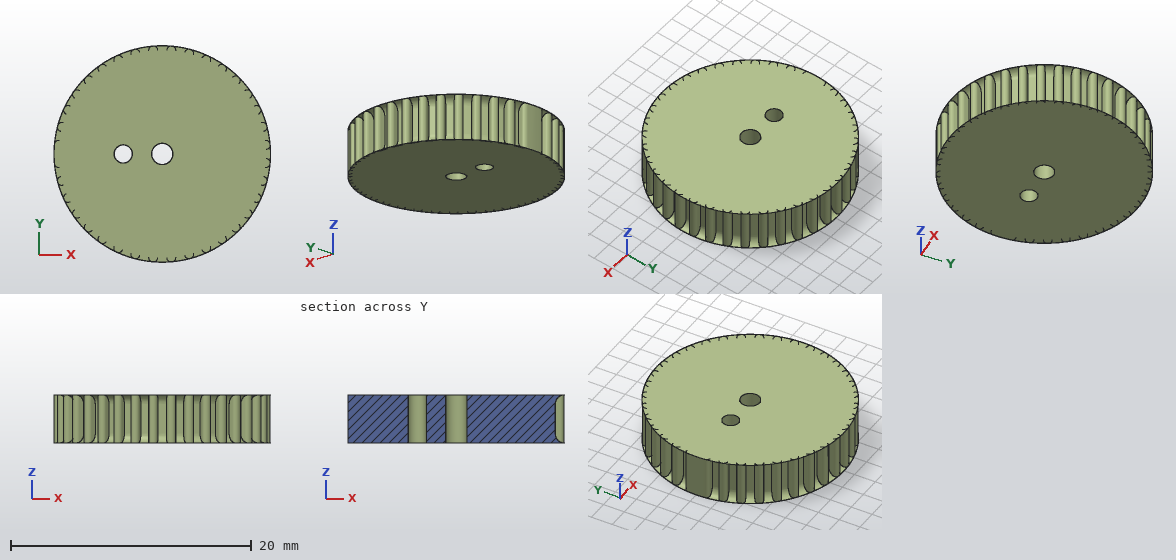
import cadquery as cq
import math

outer_radius = 9.0
thickness = 4.0
half_thickness = thickness / 2

cove_radius = 0.75
floor_radius = outer_radius - cove_radius

tooth_count = 36
tooth_pitch = 360 / tooth_count
tooth_width = 0.74
tip_land = 0.04
tip_radius = (tooth_width - tip_land) / 2
tooth_root_overlap = 0.36

centre_hole_diameter = 1.75
offset_hole_diameter = 1.5
offset_hole_x = -3.24


def make_grooved_disc():
    """Revolve a half section whose rim narrows to an edge at both faces."""
    cove_offset = cove_radius * math.sqrt(0.5)
    floor_height = half_thickness - cove_radius
    return (
        cq.Workplane("XZ")
        .moveTo(0, -half_thickness)
        .lineTo(outer_radius, -half_thickness)
        .threePointArc((outer_radius - cove_offset, -floor_height - cove_offset), (floor_radius, -floor_height))
        .lineTo(floor_radius, floor_height)
        .threePointArc((outer_radius - cove_offset, floor_height + cove_offset), (outer_radius, half_thickness))
        .lineTo(0, half_thickness)
        .close()
        .revolve(360, (0, 0, 0), (0, 1, 0))
    )


def make_tooth(angle):
    """A full-height radial tooth whose rounded tip reaches the outer radius."""
    root = floor_radius - tooth_root_overlap
    half_width = tooth_width / 2
    half_land = tip_land / 2
    shoulder = outer_radius - tip_radius
    corner_offset = tip_radius * math.sqrt(0.5)
    corner_x = shoulder + corner_offset
    corner_y = half_land + corner_offset
    return (
        cq.Workplane("XY", origin=(0, 0, -half_thickness))
        .moveTo(root, -half_width)
        .lineTo(shoulder, -half_width)
        .threePointArc((corner_x, -corner_y), (outer_radius, -half_land))
        .lineTo(outer_radius, half_land)
        .threePointArc((corner_x, corner_y), (shoulder, half_width))
        .lineTo(root, half_width)
        .close()
        .extrude(thickness)
        .rotate((0, 0, 0), (0, 0, 1), angle)
    )


def make_filled_gap():
    """A full-radius sector closing the gap on the -X side, from tooth centre to tooth centre."""
    half_angle = math.radians(tooth_pitch / 2)
    x = outer_radius * math.cos(half_angle)
    y = outer_radius * math.sin(half_angle)
    return (
        cq.Workplane("XY", origin=(0, 0, -half_thickness))
        .moveTo(-floor_radius + tooth_root_overlap, 0)
        .lineTo(-x, -y)
        .threePointArc((-outer_radius, 0), (-x, y))
        .close()
        .extrude(thickness)
    )


def make_hole(diameter, x):
    """A cylinder through the full thickness, centred on the X axis line."""
    return (
        cq.Workplane("XY", origin=(x, 0, -half_thickness))
        .circle(diameter / 2)
        .extrude(thickness)
    )


result = make_grooved_disc()
for index in range(tooth_count):
    result = result.union(make_tooth((index + 0.5) * tooth_pitch))
result = (
    result.union(make_filled_gap())
    .cut(make_hole(centre_hole_diameter, 0))
    .cut(make_hole(offset_hole_diameter, offset_hole_x))
)